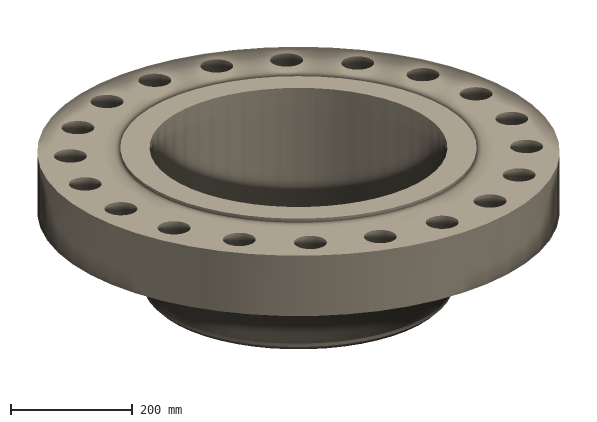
import cadquery as cq

flange_diameter = 857.0
flange_thickness = 108.0
overall_height = 254.0

raised_face_diameter = 585.0
raised_face_height = 7.0

hub_base_diameter = 622.0
hub_fillet_radius = 13.0
neck_diameter = 508.0
neck_land_height = 6.0
weld_bevel = 8.0

bore_diameter = 489.0

bolt_count = 20
bolt_hole_diameter = 54.0
bolt_circle_diameter = 749.0

face_top = flange_thickness + raised_face_height
neck_bottom = face_top - overall_height
bevel_top = neck_bottom + weld_bevel
cone_bottom = bevel_top + neck_land_height


def flange_plate():
    return cq.Workplane("XY").circle(flange_diameter / 2).extrude(flange_thickness)


def raised_face():
    return (
        cq.Workplane("XY", origin=(0, 0, flange_thickness))
        .circle(raised_face_diameter / 2)
        .extrude(raised_face_height)
    )


def tapered_hub():
    """Cone narrowing to a short straight neck with a bevelled end."""
    neck_radius = neck_diameter / 2
    return (
        cq.Workplane("XZ")
        .moveTo(0, 0)
        .lineTo(hub_base_diameter / 2, 0)
        .lineTo(neck_radius, cone_bottom)
        .lineTo(neck_radius, bevel_top)
        .lineTo(neck_radius - weld_bevel, neck_bottom)
        .lineTo(0, neck_bottom)
        .close()
        .revolve(360, (0, 0, 0), (0, 1, 0))
    )


def bolt_holes():
    return (
        cq.Workplane("XY")
        .polarArray(bolt_circle_diameter / 2, 0, 360, bolt_count)
        .circle(bolt_hole_diameter / 2)
        .extrude(flange_thickness)
    )


def bore():
    return (
        cq.Workplane("XY", origin=(0, 0, neck_bottom))
        .circle(bore_diameter / 2)
        .extrude(overall_height)
    )


body = flange_plate().union(tapered_hub())

hub_corner = cq.selectors.RadiusNthSelector(-2)
body = body.edges("%CIRCLE").edges(hub_corner).fillet(hub_fillet_radius)

result = body.union(raised_face()).cut(bore()).cut(bolt_holes())